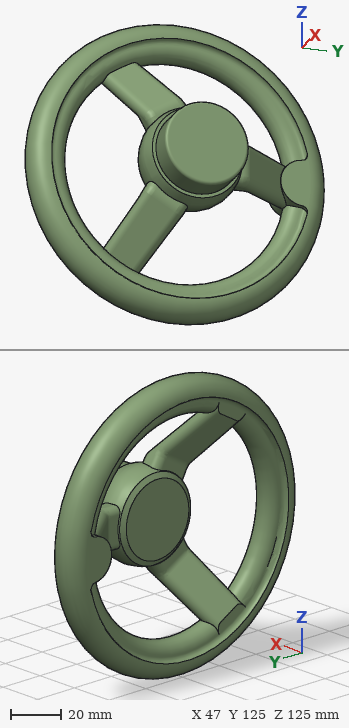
import cadquery as cq
import math

outer_radius = 62.5
rim_section_radius = 8.0
rim_mid_x = rim_section_radius
rim_back_x = 2 * rim_section_radius
rim_circle_radius = outer_radius - rim_section_radius
step_depth = 2.2
inner_section_radius = rim_section_radius - step_depth
inner_circle_radius = rim_circle_radius - step_depth

hub_front_x = 18.0
hub_front_radius = 17.0
hub_edge_x = 19.4
hub_edge_radius = 19.4
hub_bulge_x = 26.2
hub_bulge_radius = 20.9
hub_shoulder_x = 35.1
hub_shoulder_radius = 19.0
shank_radius = 17.5
shank_end_x = 47.0
shank_rounding = 1.2

spoke_count = 3
spoke_front_x = 20.0
spoke_back_x = 30.1
spoke_front_bend_radius = 24.6
spoke_back_bend_radius = 23.0
spoke_slope = 1.3
spoke_root_radius = 15.0
spoke_root_width = 18.8
spoke_tip_width = 16.8
spoke_rounding = 3.5
spoke_bend_rounding = 1.9
front_root_fillet = 3.8

boss_radius = 9.6
boss_center_y = 51.5
boss_corner_fillet = 2.5


def revolve_about_x(profile):
    return profile.revolve(360, (0, 0, 0), (1, 0, 0))


def make_rim():
    """Round rim whose inner half steps in to a slimmer section through hollow arcs."""
    hollow = step_depth * math.sqrt(0.5)
    hollow_radius = inner_circle_radius + hollow
    profile = (
        cq.Workplane("XY")
        .moveTo(0, rim_circle_radius)
        .threePointArc((rim_mid_x, outer_radius), (rim_back_x, rim_circle_radius))
        .threePointArc((rim_back_x - hollow, hollow_radius),
                       (rim_back_x - step_depth, inner_circle_radius))
        .threePointArc((rim_mid_x, inner_circle_radius - inner_section_radius),
                       (step_depth, inner_circle_radius))
        .threePointArc((hollow, hollow_radius), (0, rim_circle_radius))
        .close()
    )
    return revolve_about_x(profile)


def make_hub():
    """Barrel-shaped hub with a stepped-down shank behind it."""
    profile = (
        cq.Workplane("XY")
        .moveTo(hub_front_x, 0)
        .lineTo(hub_front_x, hub_front_radius)
        .lineTo(hub_edge_x, hub_edge_radius)
        .threePointArc((hub_bulge_x, hub_bulge_radius), (hub_shoulder_x, hub_shoulder_radius))
        .lineTo(hub_shoulder_x, 0)
        .close()
    )
    shank = (
        cq.Workplane("YZ", origin=(hub_shoulder_x, 0, 0))
        .circle(shank_radius)
        .extrude(shank_end_x - hub_shoulder_x)
        .faces(">X").edges().fillet(shank_rounding)
    )
    return revolve_about_x(profile).union(shank)


def make_spoke():
    """Cranked spoke along +Y, tapering in width and rounded along its length."""
    front_tip_x = spoke_front_x - (rim_circle_radius - spoke_front_bend_radius) / spoke_slope
    back_tip_x = spoke_back_x - (rim_circle_radius - spoke_back_bend_radius) / spoke_slope
    side = (
        cq.Workplane("XY")
        .polyline([
            (spoke_front_x, spoke_root_radius),
            (spoke_front_x, spoke_front_bend_radius),
            (front_tip_x, rim_circle_radius),
            (back_tip_x, rim_circle_radius),
            (spoke_back_x, spoke_back_bend_radius),
            (spoke_back_x, spoke_root_radius),
        ])
        .close()
        .extrude(spoke_root_width / 2, both=True)
    )
    plan = (
        cq.Workplane("YZ")
        .polyline([
            (spoke_root_radius, -spoke_root_width / 2),
            (rim_circle_radius, -spoke_tip_width / 2),
            (rim_circle_radius, spoke_tip_width / 2),
            (spoke_root_radius, spoke_root_width / 2),
        ])
        .close()
        .extrude(shank_end_x, both=True)
    )
    bend_margin = 0.1

    def bend_at(x, y):
        return cq.selectors.BoxSelector(
            (x - bend_margin, y - bend_margin, -spoke_root_width),
            (x + bend_margin, y + bend_margin, spoke_root_width),
        )

    spoke = side.intersect(plan)
    spoke = spoke.edges(bend_at(spoke_front_x, spoke_front_bend_radius)).fillet(front_root_fillet)
    spoke = spoke.edges(bend_at(spoke_back_x, spoke_back_bend_radius)).fillet(
        spoke_bend_rounding + spoke_rounding)
    spoke = spoke.faces("<Z or >Z").edges("not(<Y or >Y or |Z)").fillet(spoke_rounding)
    trim = (
        cq.Workplane("YZ", origin=(step_depth, 0, 0))
        .circle(inner_circle_radius)
        .extrude(shank_end_x - step_depth)
    )
    return spoke.intersect(trim)


def make_boss():
    """Handle boss across the rim, faired into the rim's step and kept inside its crest."""
    crest = (
        cq.Workplane("YZ")
        .circle(rim_circle_radius + boss_radius)
        .circle(rim_circle_radius)
        .extrude(rim_back_x)
    )
    post = cq.Workplane("YZ").center(boss_center_y, 0).circle(boss_radius).extrude(rim_back_x)
    faired = crest.union(post).edges("|X").fillet(boss_corner_fillet)
    return faired.intersect(
        cq.Workplane("YZ").circle(rim_circle_radius).extrude(rim_back_x)
    )


result = make_rim().union(make_hub()).union(make_boss())
spoke = make_spoke()
for index in range(spoke_count):
    result = result.union(spoke.rotate((0, 0, 0), (1, 0, 0), index * 360 / spoke_count))